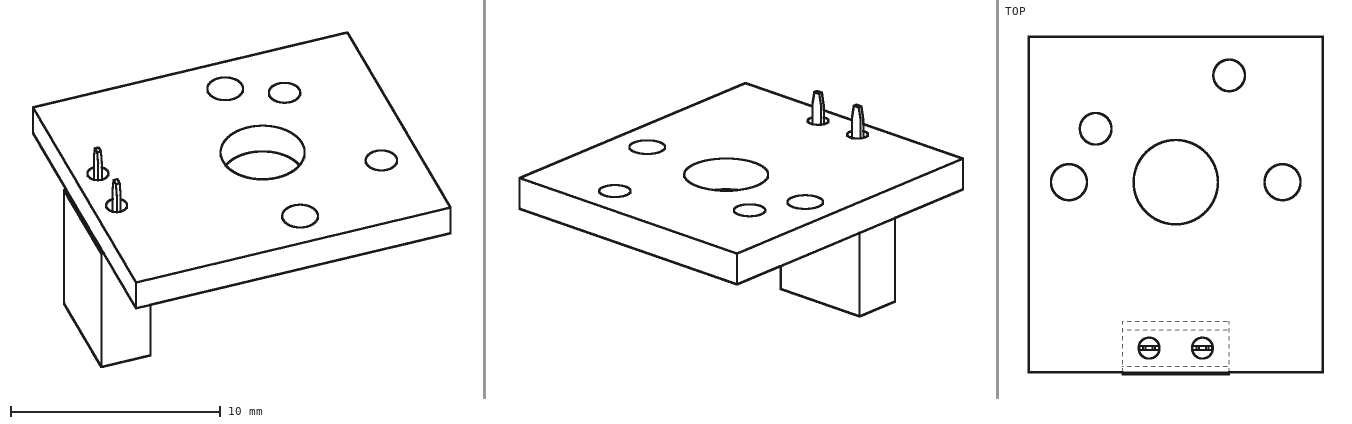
import cadquery as cq

grid = 2.55
plate_front = -9.06

plate_width = 14.0
plate_length = 16.0
plate_thickness = 1.6
center_hole_diameter = 4.0
post_hole_diameter = 1.7
contact_hole_diameter = 1.5
pin_hole_diameter = 1.0
post_hole_points = [(-2 * grid, 0), (2 * grid, 0)]
contact_hole_points = [(-1.5 * grid, grid), (grid, 2 * grid)]

housing_width = 2 * grid
housing_depth = 2.51
housing_height = 7.0
housing_overhang = 0.1
housing_gap = 0.05
channel_width = 1.74
channel_depth = 0.2

pin_width = 0.56
pin_foot_width = 0.93
pin_thickness = 0.2
pin_tip_width = 0.32
pin_taper_height = 0.63
pin_projection = 1.46

housing_y = plate_front - housing_overhang + housing_depth / 2
housing_top = -housing_gap
channel_floor = housing_top - channel_depth
pin_top = plate_thickness + pin_projection
pin_points = [(-grid / 2, housing_y), (grid / 2, housing_y)]


def make_plate():
    """Rectangular plate with every hole going straight through."""
    plate = cq.Workplane("XY").box(plate_width, plate_length, plate_thickness, centered=(True, False, False))
    plate = plate.translate((0, plate_front, 0))
    hole_groups = [
        (center_hole_diameter, [(0, 0)]),
        (post_hole_diameter, post_hole_points),
        (contact_hole_diameter, contact_hole_points),
        (pin_hole_diameter, pin_points),
    ]
    for diameter, points in hole_groups:
        holes = cq.Workplane("XY").pushPoints(points).circle(diameter / 2).extrude(plate_thickness)
        plate = plate.cut(holes)
    return plate


def make_pin(x, y):
    """Flat pin with a wide foot standing on the channel floor, narrowing to a blunt tip."""
    taper_start = pin_top - pin_taper_height
    outline = [
        (-pin_foot_width / 2, channel_floor),
        (pin_foot_width / 2, channel_floor),
        (pin_foot_width / 2, 0),
        (pin_width / 2, 0),
        (pin_width / 2, taper_start),
        (pin_tip_width / 2, pin_top),
        (-pin_tip_width / 2, pin_top),
        (-pin_width / 2, taper_start),
        (-pin_width / 2, 0),
        (-pin_foot_width / 2, 0),
    ]
    pin = cq.Workplane("XZ").polyline(outline).close().extrude(pin_thickness / 2, both=True)
    return pin.translate((x, y, 0))


def make_connector():
    """Block with a channel along its top and two pins, all one solid."""
    housing = (
        cq.Workplane("XY", origin=(0, housing_y, housing_top))
        .rect(housing_width, housing_depth)
        .extrude(-housing_height)
    )
    channel = (
        cq.Workplane("XY", origin=(0, housing_y, housing_top))
        .rect(housing_width, channel_width)
        .extrude(-channel_depth)
    )
    connector = housing.cut(channel)
    for x, y in pin_points:
        connector = connector.union(make_pin(x, y))
    return connector


plate = make_plate()
connector = make_connector()

result = cq.Compound.makeCompound([plate.val(), connector.val()])